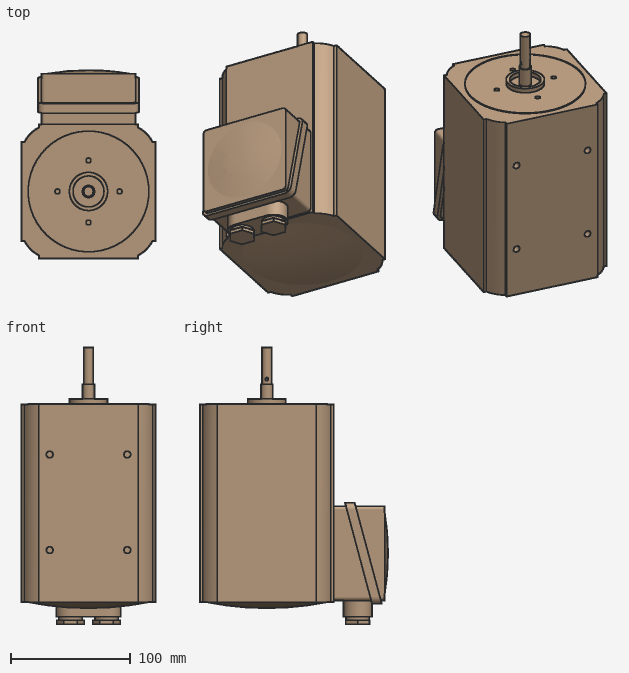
import cadquery as cq
import math

TOTAL_HEIGHT = 231.5
TOTAL_DEPTH = 157.5
LOWEST_Z = -18.5
SHAFT_END_Z = TOTAL_HEIGHT + LOWEST_Z

BODY_SIDE = 112.0
BODY_HEIGHT = 165.3
FACE_WIDTH = 82.9
CORNER_STEP = 2.5
CORNER_BULGE = 1.5

END_DISC_RADIUS = 50.5
END_DISC_THICKNESS = 0.7
END_DOME_HEIGHT = 5.0
PILOT_RADIUS = 16.0
PILOT_BORE_RADIUS = 13.0
PILOT_HEIGHT = 4.0

COLLAR_DIAMETER = 10.2
SHOULDER_Z = 182.0
SHAFT_DIAMETER = 8.3
CROSS_HOLE_DIAMETER = 2.3
CROSS_HOLE_Z = 186.4

TOP_HOLE_DIAMETER = 4.2
TOP_HOLE_CIRCLE_RADIUS = 26.0
TOP_HOLE_COUNT = 4
SIDE_HOLE_DIAMETER = 5.5
SIDE_HOLE_SPACING_X = 64.8
SIDE_HOLE_Z = (43.5, 123.5)
HOLE_DEPTH = 10.0

BOX_SIDE = 79.0
BOX_BOTTOM_Z = 1.5
BOX_END_Y = 98.5
BOX_CORNER_RADIUS = 3.0
BOX_DOME_RADIUS = 35.2

RIM_OVERHANG = 2.8
RIM_WIDTH_Y = 8.0
RIM_TILT = 15.0
RIM_TOP_Y = 65.3

GLAND_Y = 76.0
GLAND_SPACING = 30.0
GLAND_BASE_DIAMETER = 24.0
GLAND_BASE_BOTTOM_Z = -12.3
GLAND_NECK_DIAMETER = 19.7
GLAND_NUT_TOP_Z = -15.0
GLAND_NUT_ACROSS_CORNERS = 23.2

half_side = BODY_SIDE / 2
half_face = FACE_WIDTH / 2
box_dome_height = TOTAL_DEPTH - half_side - BOX_END_Y
disc_top_z = BODY_HEIGHT + END_DISC_THICKNESS
box_center_z = BOX_BOTTOM_Z + BOX_SIDE / 2


def vertical_cylinder(diameter, bottom_z, top_z):
    return cq.Workplane("XY").workplane(offset=bottom_z).circle(diameter / 2).extrude(top_z - bottom_z)


def dome(base_radius, height):
    """Spherical cap on the XY plane, rising toward +Z."""
    sphere_radius = (base_radius**2 + height**2) / (2 * height)
    half_angle = math.asin(base_radius / sphere_radius) / 2
    mid_point = (
        sphere_radius * math.sin(half_angle),
        height - sphere_radius * (1 - math.cos(half_angle)),
    )
    profile = (
        cq.Workplane("XZ")
        .lineTo(base_radius, 0)
        .threePointArc(mid_point, (0, height))
        .close()
    )
    return profile.revolve(360, (0, 0, 0), (0, 1, 0))


def motor_body():
    """Square prism whose corners are relieved by a small lip and a shallow convex arc."""
    arc_end = half_side - CORNER_STEP
    arc_middle = (arc_end + half_face) / 2 + CORNER_BULGE / math.sqrt(2)
    outline = cq.Workplane("XY").moveTo(half_side, -half_face)
    for (ux, uy), (vx, vy) in (
        ((1, 0), (0, 1)),
        ((0, 1), (-1, 0)),
        ((-1, 0), (0, -1)),
        ((0, -1), (1, 0)),
    ):

        def corner_point(along_u, along_v):
            return (ux * along_u + vx * along_v, uy * along_u + vy * along_v)

        outline = (
            outline.lineTo(*corner_point(half_side, half_face))
            .lineTo(*corner_point(arc_end, half_face))
            .threePointArc(corner_point(arc_middle, arc_middle), corner_point(half_face, arc_end))
            .lineTo(*corner_point(half_face, half_side))
        )
    return outline.close().extrude(BODY_HEIGHT)


def body_ends():
    """Raised disc and pilot ring on the shaft end, shallow dome on the other end."""
    disc = vertical_cylinder(2 * END_DISC_RADIUS, BODY_HEIGHT, disc_top_z)
    pilot = (
        cq.Workplane("XY")
        .workplane(offset=disc_top_z)
        .circle(PILOT_RADIUS)
        .circle(PILOT_BORE_RADIUS)
        .extrude(PILOT_HEIGHT)
    )
    lower_dome = dome(END_DISC_RADIUS, END_DOME_HEIGHT).rotate((0, 0, 0), (1, 0, 0), 180)
    return disc.union(pilot).union(lower_dome)


def shaft():
    collar = vertical_cylinder(COLLAR_DIAMETER, BODY_HEIGHT, SHOULDER_Z)
    shaft_end = vertical_cylinder(SHAFT_DIAMETER, SHOULDER_Z, SHAFT_END_Z)
    cross_hole = (
        cq.Workplane("YZ")
        .center(0, CROSS_HOLE_Z)
        .circle(CROSS_HOLE_DIAMETER / 2)
        .extrude(SHAFT_DIAMETER, both=True)
    )
    return collar.union(shaft_end).cut(cross_hole)


def top_holes():
    return (
        cq.Workplane("XY")
        .workplane(offset=disc_top_z)
        .polarArray(TOP_HOLE_CIRCLE_RADIUS, 0, 360, TOP_HOLE_COUNT)
        .circle(TOP_HOLE_DIAMETER / 2)
        .extrude(-HOLE_DEPTH)
    )


def side_holes():
    """Four holes entering the -Y face."""
    half_spacing = SIDE_HOLE_SPACING_X / 2
    centers = [(x, z) for x in (-half_spacing, half_spacing) for z in SIDE_HOLE_Z]
    return (
        cq.Workplane("XZ", origin=(0, -half_side, 0))
        .pushPoints(centers)
        .circle(SIDE_HOLE_DIAMETER / 2)
        .extrude(-HOLE_DEPTH)
    )


def rounded_box(side, corner_radius, start_y, end_y):
    """Square bar along Y, centred on the terminal box, with rounded long edges."""
    return (
        cq.Workplane("XZ", origin=(0, start_y, box_center_z))
        .rect(side, side)
        .extrude(start_y - end_y)
        .edges("|Y")
        .fillet(corner_radius)
    )


def terminal_box():
    box = rounded_box(BOX_SIDE, BOX_CORNER_RADIUS, half_side, BOX_END_Y)
    cover_dome = (
        dome(BOX_DOME_RADIUS, box_dome_height)
        .rotate((0, 0, 0), (1, 0, 0), -90)
        .translate((0, BOX_END_Y, box_center_z))
    )
    return box.union(cover_dome)


def box_rim():
    """Rounded square collar bounded by two parallel planes that slope away from the motor."""
    rim_side = BOX_SIDE + 2 * RIM_OVERHANG
    top_z = box_center_z + rim_side / 2
    bottom_z = top_z - rim_side
    bottom_y = RIM_TOP_Y + rim_side * math.tan(math.radians(RIM_TILT))
    slab = (
        cq.Workplane("YZ")
        .polyline([
            (RIM_TOP_Y, top_z),
            (RIM_TOP_Y + RIM_WIDTH_Y, top_z),
            (bottom_y + RIM_WIDTH_Y, bottom_z),
            (bottom_y, bottom_z),
        ])
        .close()
        .extrude(rim_side, both=True)
    )
    bar = rounded_box(rim_side, BOX_CORNER_RADIUS + RIM_OVERHANG, half_side, BOX_END_Y)
    return bar.intersect(slab)


def cable_glands():
    """Oblong base below the box carrying two round necks with hexagon nuts."""
    base = (
        cq.Workplane("XY", origin=(0, GLAND_Y, GLAND_BASE_BOTTOM_Z))
        .slot2D(GLAND_SPACING + GLAND_BASE_DIAMETER, GLAND_BASE_DIAMETER)
        .extrude(BOX_BOTTOM_Z + BOX_CORNER_RADIUS - GLAND_BASE_BOTTOM_Z)
    )
    centers = [(-GLAND_SPACING / 2, 0), (GLAND_SPACING / 2, 0)]
    necks = (
        cq.Workplane("XY", origin=(0, GLAND_Y, GLAND_NUT_TOP_Z))
        .pushPoints(centers)
        .circle(GLAND_NECK_DIAMETER / 2)
        .extrude(GLAND_BASE_BOTTOM_Z - GLAND_NUT_TOP_Z)
    )
    nuts = (
        cq.Workplane("XY", origin=(0, GLAND_Y, LOWEST_Z))
        .pushPoints(centers)
        .polygon(6, GLAND_NUT_ACROSS_CORNERS)
        .extrude(GLAND_NUT_TOP_Z - LOWEST_Z)
    )
    return base.union(necks).union(nuts)


motor = motor_body().union(body_ends()).union(shaft())
motor = motor.cut(top_holes()).cut(side_holes())
result = motor.union(terminal_box()).union(box_rim()).union(cable_glands())